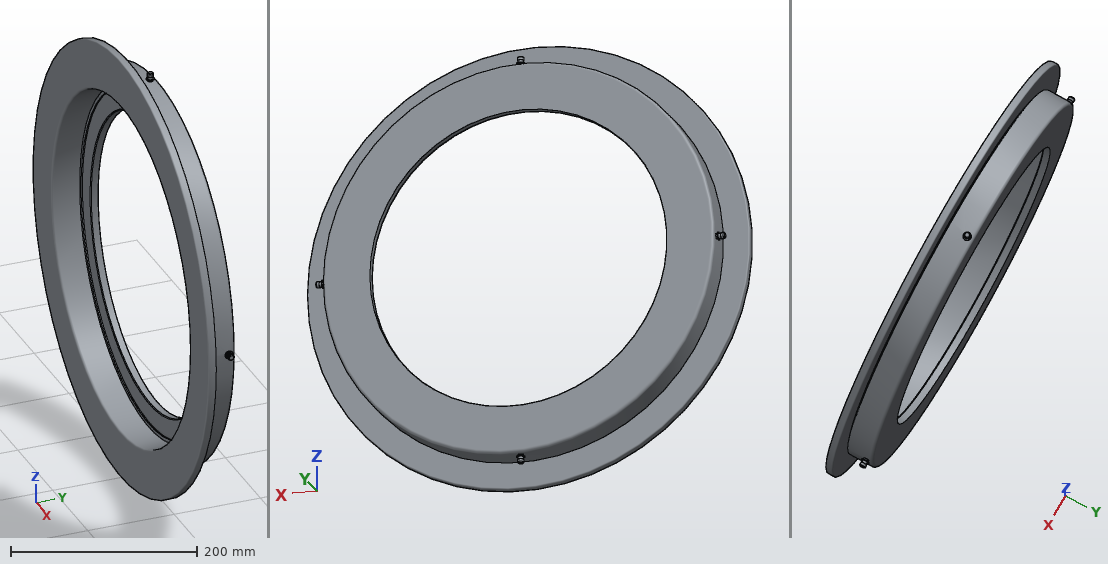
import cadquery as cq
total_depth = 42.5

flange_radius = 252.0
flange_thickness = 9.0
flange_rim_fillet = 1.5
opening_radius = 197.0
opening_fillet = 2.5
tube_radius = 216.5

housing_radius = 223.0
housing_front_gap = 1.5
housing_front_fillet = 1.5
housing_back_fillet = 3.5
floor_depth = 32.5
web_front_depth = 33.5
groove_depth = 0.5
groove_outer_radius = 193.0
groove_inner_radius = 189.5
hole_radius = 169.0
hole_chamfer = 1.0

knob_count = 4
knob_depth = 34.5
knob_seat_radius = 219.0
knob_tip_radius = 232.5
knob_stem_radius = 3.0
knob_head_radius = 3.5
knob_head_length = 4.0
knob_tip_chamfer = 1.0
knob_collar_radius = 4.5
knob_collar_inner_end = 225.0
knob_collar_thickness = 0.5


SMALLEST_CIRCLE = cq.selectors.RadiusNthSelector(0)
LARGEST_CIRCLE = cq.selectors.RadiusNthSelector(-1)


def turned(profile_points):
    """Solid of revolution about the Y axis from (radius, depth) points."""
    return cq.Workplane("XY").polyline(profile_points).close().revolve(360, (0, 0, 0), (0, 1, 0))


def make_flange():
    flange = turned([
        (opening_radius, 0),
        (flange_radius, 0),
        (flange_radius, flange_thickness),
        (tube_radius, flange_thickness),
        (tube_radius, floor_depth),
        (opening_radius, floor_depth),
    ])
    flange = flange.faces("<Y").edges(SMALLEST_CIRCLE).fillet(opening_fillet)
    return flange.edges(LARGEST_CIRCLE).fillet(flange_rim_fillet)


def make_housing():
    front_depth = flange_thickness + housing_front_gap
    housing = turned([
        (tube_radius, front_depth),
        (housing_radius, front_depth),
        (housing_radius, total_depth),
        (hole_radius, total_depth),
        (hole_radius, web_front_depth + hole_chamfer),
        (hole_radius + hole_chamfer, web_front_depth),
        (groove_inner_radius, web_front_depth),
        (groove_outer_radius, web_front_depth + groove_depth),
        (groove_outer_radius, floor_depth),
        (tube_radius, floor_depth),
    ])
    housing = housing.faces("<Y").edges(LARGEST_CIRCLE).fillet(housing_front_fillet)
    return housing.faces(">Y").edges(LARGEST_CIRCLE).fillet(housing_back_fillet)


def radial_rod(radius, start, end):
    """Round rod along +Z at the knob depth, between two distances from the Y axis."""
    plane = cq.Plane(origin=(0, knob_depth, start), xDir=(1, 0, 0), normal=(0, 0, 1))
    return cq.Workplane(plane).circle(radius).extrude(end - start)


def quarter_turns(shape):
    """Copies of a shape spaced evenly about the Y axis."""
    step = 360 / knob_count
    return [shape.rotate((0, 0, 0), (0, 1, 0), index * step) for index in range(knob_count)]


def make_knob():
    head_start = knob_tip_radius - knob_head_length
    stem = radial_rod(knob_stem_radius, knob_seat_radius, head_start)
    head = radial_rod(knob_head_radius, head_start, knob_tip_radius).faces(">Z").chamfer(knob_tip_chamfer)
    collar_end = knob_collar_inner_end + knob_collar_thickness
    collar = radial_rod(knob_collar_radius, knob_collar_inner_end, collar_end)
    return stem.union(collar).union(head)


def cut_knob_seats(housing):
    """Blind round holes in the housing wall that take the knob stems."""
    for seat in quarter_turns(radial_rod(knob_stem_radius, knob_seat_radius, knob_tip_radius)):
        housing = housing.cut(seat)
    return housing


flange = make_flange()
housing = cut_knob_seats(make_housing())
knobs = quarter_turns(make_knob())
result = cq.Compound.makeCompound([flange.val(), housing.val(), *[knob.val() for knob in knobs]])